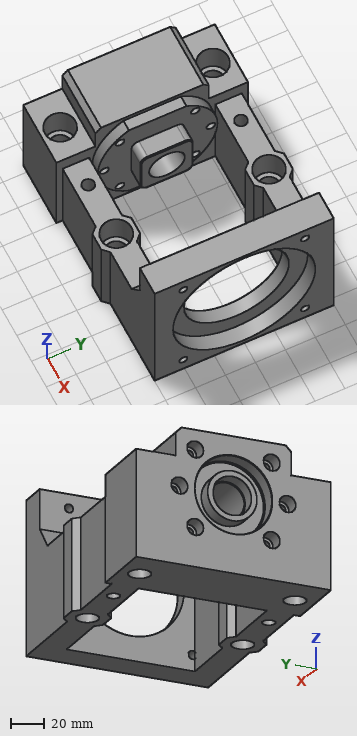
import cadquery as cq

length = 170.0
width = 128.0
height = 101.0

block_length = 45.0
shoulder_height = 70.0
crown_width = 75.8
crown_height = 88.9
crown_chamfer = 3.7

axis_z = 51.0

flange_diameter = 79.9
flange_thickness = 7.5
flange_flat = 35.0
spigot_side = 35.0
spigot_corner = 5.0
spigot_length = 12.5
spigot_edge_chamfer = 0.7

pocket_diameter = 50.5
pocket_mouth_chamfer = 0.3
pocket_depth = 10.0
relief_diameter = 49.5
relief_depth = 11.2
hub_diameter = 32.3
hub_recess = 1.9
hub_bore_diameter = 25.2
hub_bore_depth = 11.0
bore_diameter = 23.8

bolt_circle_radius = 35.5
bolt_angles = (0, 45, 135, 180, 225, 315)
bolt_diameter = 6.6
flange_bolt_diameter = 5.8
bolt_head_diameter = 10.7
bolt_head_depth = 10.2

rail_height = 60.0
rail_outer_y = 59.8
rail_inner_y = 42.2
ramp_run = 11.2
ramp_rise = 15.0

fixing_y = 51.0
block_fixing_x = 23.8
boss_x = 100.0
boss_half_length = 10.0
boss_half_width = width / 2 - fixing_y
boss_chamfer = 4.0
fixing_diameter = 14.1
fixing_head_diameter = 20.2
fixing_head_depth = 20.4
dowel_x = 61.9
dowel_diameter = 8.2

plate_thickness = 20.0
plate_x = length - plate_thickness
pilot_diameter = 70.0
pilot_depth = 9.5
motor_recess_diameter = 95.0
motor_hole_offset = 40.6
motor_hole_diameter = 5.5


def cylinder_x(x_start, x_length, diameter, y=0.0, z=axis_z):
    """Cylinder along X starting at x_start."""
    return cq.Workplane("YZ", origin=(x_start, y, z)).circle(diameter / 2).extrude(x_length)


def cylinder_z(x, y, z_start, z_length, diameter):
    """Cylinder along Z starting at z_start."""
    return cq.Workplane("XY", origin=(x, y, z_start)).circle(diameter / 2).extrude(z_length)


def head_block():
    """Wide block with a narrower, chamfered crown."""
    base = cq.Workplane("XY").box(block_length, width, shoulder_height, centered=(False, True, False))
    crown = cq.Workplane("XY").box(block_length, crown_width, crown_height, centered=(False, True, False))
    crown = crown.edges("|X and >Z").chamfer(crown_chamfer)
    return base.union(crown)


def flange_and_spigot():
    """Round flange with flats above and below, followed by a rounded square spigot."""
    flange = cylinder_x(block_length, flange_thickness, flange_diameter)
    flats = cq.Workplane("XY", origin=(0, 0, axis_z))
    flats = flats.box(length, width, 2 * flange_flat, centered=(False, True, True))
    spigot_x = block_length + flange_thickness
    spigot = cq.Workplane("YZ", origin=(spigot_x, 0, axis_z)).rect(spigot_side, spigot_side)
    spigot = spigot.extrude(spigot_length).edges("|X").fillet(spigot_corner)
    spigot = spigot.faces(">X").chamfer(spigot_edge_chamfer)
    return flange.intersect(flats).union(spigot)


def rail(side):
    """Rail from block to motor plate with a ramp at the plate and an octagonal boss."""
    profile = [
        (block_length, 0),
        (plate_x, 0),
        (plate_x, rail_height + ramp_rise),
        (plate_x - ramp_run, rail_height),
        (block_length, rail_height),
    ]
    thickness = rail_outer_y - rail_inner_y
    middle_y = side * (rail_outer_y + rail_inner_y) / 2
    beam = cq.Workplane("XZ", origin=(0, middle_y, 0)).polyline(profile).close()
    beam = beam.extrude(thickness / 2, both=True)
    boss = cq.Workplane("XY", origin=(boss_x, side * fixing_y, 0))
    boss = boss.rect(2 * boss_half_length, 2 * boss_half_width).extrude(rail_height)
    boss = boss.edges("|Z").chamfer(boss_chamfer)
    return beam.union(boss)


def motor_plate():
    """Upright plate with a pilot opening and four motor screw holes."""
    plate = cq.Workplane("XY", origin=(plate_x, 0, 0))
    plate = plate.box(plate_thickness, 2 * rail_outer_y, height, centered=(False, True, False))
    plate = plate.cut(cylinder_x(plate_x, plate_thickness, pilot_diameter))
    plate = plate.cut(cylinder_x(plate_x + pilot_depth, plate_thickness, motor_recess_diameter))
    for y in (-motor_hole_offset, motor_hole_offset):
        for dz in (-motor_hole_offset, motor_hole_offset):
            plate = plate.cut(cylinder_x(plate_x, plate_thickness, motor_hole_diameter, y, axis_z + dz))
    return plate


def spindle_bore():
    """Bearing pocket with a chamfered mouth that leaves a hub standing, and the stepped bore through it."""
    mouth_diameter = pocket_diameter + 2 * pocket_mouth_chamfer
    mouth = cq.Workplane("YZ", origin=(0, 0, axis_z)).circle(mouth_diameter / 2)
    mouth = mouth.extrude(pocket_mouth_chamfer, taper=45)
    pocket = cylinder_x(0, pocket_depth, pocket_diameter).union(mouth)
    pocket = pocket.union(cylinder_x(0, relief_depth, relief_diameter))
    pocket = pocket.cut(cylinder_x(hub_recess, length, hub_diameter))
    hub_bore = cylinder_x(0, hub_bore_depth, hub_bore_diameter)
    return pocket.union(hub_bore).union(cylinder_x(0, plate_x, bore_diameter))


def bolt_holes():
    """Stepped holes on the bolt circle: head counterbore, clearance in the block, narrower in the flange."""
    steps = (
        (flange_bolt_diameter, block_length + flange_thickness),
        (bolt_diameter, block_length),
        (bolt_head_diameter, bolt_head_depth),
    )
    start = cq.Workplane("YZ", origin=(0, 0, axis_z))
    holes = cq.Workplane("YZ")
    for angle in bolt_angles:
        spot = start.transformed(rotate=(0, 0, angle)).center(bolt_circle_radius, 0)
        for diameter, depth in steps:
            holes = holes.add(spot.circle(diameter / 2).extrude(depth))
    return holes.combine()


def fixing_hole(x, y, top):
    """Vertical through hole counterbored from the top."""
    head = cylinder_z(x, y, top - fixing_head_depth, fixing_head_depth, fixing_head_diameter)
    return cylinder_z(x, y, 0, top, fixing_diameter).union(head)


result = head_block().union(flange_and_spigot()).union(motor_plate())
for side in (-1, 1):
    result = result.union(rail(side))
result = result.cut(spindle_bore()).cut(bolt_holes())
for side in (-1, 1):
    result = result.cut(fixing_hole(block_fixing_x, side * fixing_y, shoulder_height))
    result = result.cut(fixing_hole(boss_x, side * fixing_y, rail_height))
    result = result.cut(cylinder_z(dowel_x, side * fixing_y, 0, rail_height, dowel_diameter))